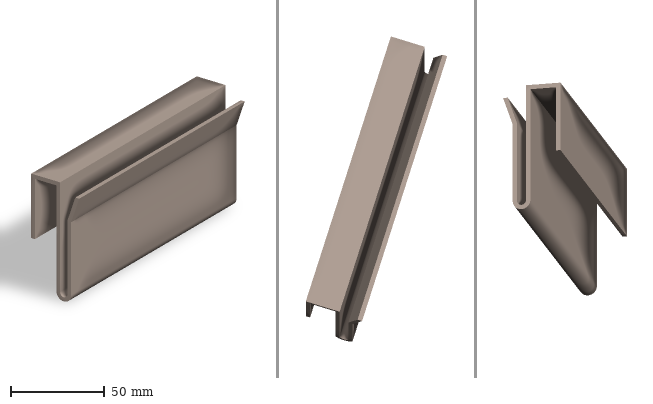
import cadquery as cq
import math

length = 152.4
thickness = 2.5
height = 69.8
width = 31.7
hook_width = 19.0
hook_drop = 38.1
bend_radius = 4.9
lip_top = 63.5
lip_start = 48.2

inner_radius = bend_radius - thickness
web_outer = hook_width - thickness
bend_center = web_outer + bend_radius
leg_inner = bend_center + inner_radius
leg_outer = bend_center + bend_radius

lip_angle = math.atan2(width - leg_outer, lip_top - lip_start)
lip_inner_start = lip_start + thickness * math.tan(lip_angle / 2)
lip_inner_tip = width - thickness / math.cos(lip_angle)

profile = (
    cq.Workplane("XZ", origin=(0, length / 2, 0))
    .moveTo(0, height)
    .lineTo(hook_width, height)
    .lineTo(hook_width, bend_radius)
    .threePointArc((bend_center, thickness), (leg_inner, bend_radius))
    .lineTo(leg_inner, lip_inner_start)
    .lineTo(lip_inner_tip, lip_top)
    .lineTo(width, lip_top)
    .lineTo(leg_outer, lip_start)
    .lineTo(leg_outer, bend_radius)
    .threePointArc((bend_center, 0), (web_outer, bend_radius))
    .lineTo(web_outer, height - thickness)
    .lineTo(thickness, height - thickness)
    .lineTo(thickness, height - hook_drop)
    .lineTo(0, height - hook_drop)
    .close()
)

result = profile.extrude(length)